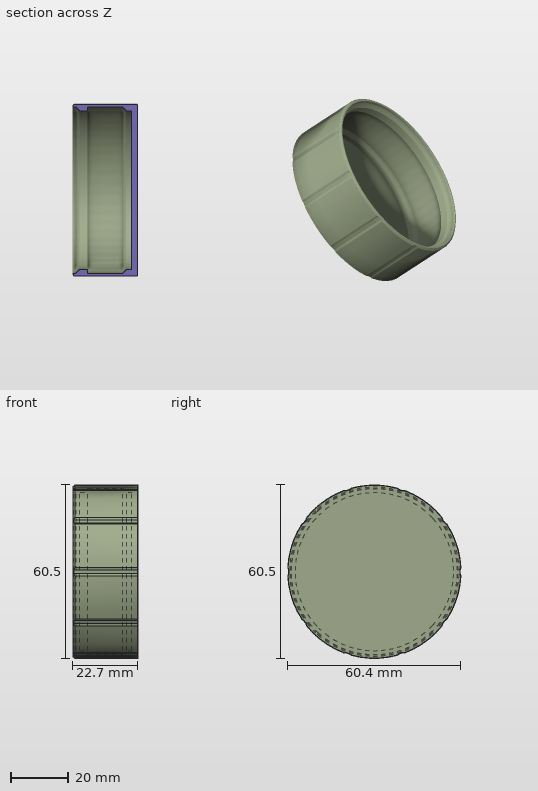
import cadquery as cq
import math

outer_radius = 30.25
length = 22.7
mouth_chamfer = 0.65
bore_chamfer = 0.2

wall_radius = 29.0
lip_radius = 27.65
lip_start = 1.0
lip_flat = 2.8
floor_ring_depth = 1.7
floor_thickness = 2.3

groove_count = 10
groove_top_half_width = 1.45
groove_floor_half_width = 0.65
groove_depth = 0.3

ring_height = wall_radius - lip_radius
lip_flat_start = lip_start + ring_height
lip_flat_end = lip_flat_start + lip_flat
floor_x = length - floor_thickness
floor_ring_flat_start = floor_x - floor_ring_depth


def cup():
    """Revolved cap with a mouth chamfered inside and out, snap lip and floor ring."""
    profile = [
        (bore_chamfer, wall_radius),
        (0, wall_radius + bore_chamfer),
        (0, outer_radius - mouth_chamfer),
        (mouth_chamfer, outer_radius),
        (length, outer_radius),
        (length, 0),
        (floor_x, 0),
        (floor_x, lip_radius),
        (floor_ring_flat_start, lip_radius),
        (floor_ring_flat_start - ring_height, wall_radius),
        (lip_flat_end, wall_radius),
        (lip_flat_end, lip_radius),
        (lip_flat_start, lip_radius),
        (lip_start, wall_radius),
    ]
    return cq.Workplane("XY").polyline(profile).close().revolve(360, (0, 0, 0), (1, 0, 0))


def groove_cutter():
    """Full-length trapezoidal groove on the +Y side, with its flanks extended past the surface."""
    edge_radius = math.sqrt(outer_radius**2 - groove_top_half_width**2)
    floor_radius = outer_radius - groove_depth
    flank_run = groove_top_half_width - groove_floor_half_width
    flank_rise = edge_radius - floor_radius
    clear_half_width = groove_top_half_width + flank_run
    clear_radius = edge_radius + flank_rise
    section = [
        (floor_radius, -groove_floor_half_width),
        (clear_radius, -clear_half_width),
        (clear_radius, clear_half_width),
        (floor_radius, groove_floor_half_width),
    ]
    return cq.Workplane("YZ").polyline(section).close().extrude(length)


result = cup()
for index in range(groove_count):
    angle = index * 360 / groove_count
    result = result.cut(groove_cutter().rotate((0, 0, 0), (1, 0, 0), angle))